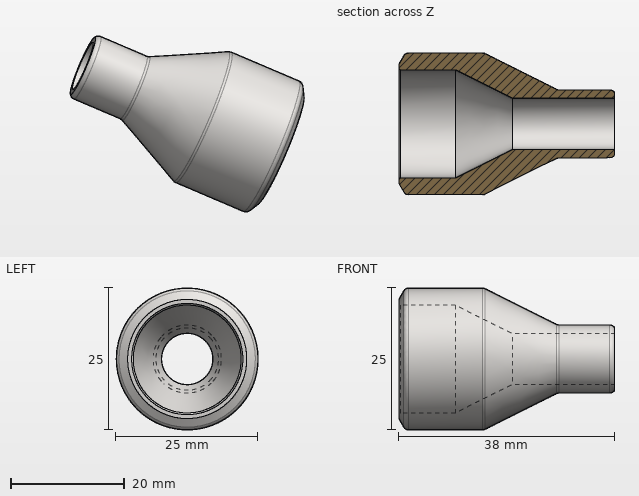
import cadquery as cq
import math

total_length = 38.0
body_end = 15.0
neck_start = 28.0

body_radius = 25.0 / 2
neck_radius = 12.0 / 2
rim_radius = 21.0 / 2
rim_slope = math.radians(60.0)
corner_radius = 1.0
neck_tip_sweep = math.radians(60.0)

socket_radius = 19.0 / 2
outlet_radius = 9.0 / 2
socket_depth = 10.0
mouth_chamfer = 0.3

rim_chamfer_end = (body_radius - rim_radius) / math.tan(rim_slope)

cone_slope = (body_radius - neck_radius) / (neck_start - body_end)
funnel_end = socket_depth + (socket_radius - outlet_radius) / cone_slope


def revolve_about_x(profile):
    """Turn a closed XY profile a full circle around the X axis."""
    return profile.revolve(360, (0, 0, 0), (1, 0, 0))


def neck_tip_point(angle):
    """Point on the neck's end arc, with the angle counted from the neck wall."""
    center_x = total_length - corner_radius * math.sin(neck_tip_sweep)
    center_y = neck_radius - corner_radius
    return (
        center_x + corner_radius * math.sin(angle),
        center_y + corner_radius * math.cos(angle),
    )


def round_edge(solid, x, radius):
    """Round the circular outer edge of the given radius that lies at x."""
    margin = 0.01
    edge = cq.selectors.BoxSelector(
        (x - margin, -radius - margin, -radius - margin),
        (x + margin, radius + margin, radius + margin),
        boundingbox=True,
    )
    return solid.edges(edge).fillet(corner_radius)


def make_outside():
    """Solid outer shape: chamfered body, cone and neck with rounded corners."""
    profile = (
        cq.Workplane("XY")
        .lineTo(0, rim_radius)
        .lineTo(rim_chamfer_end, body_radius)
        .lineTo(body_end, body_radius)
        .lineTo(neck_start, neck_radius)
        .lineTo(*neck_tip_point(0))
        .threePointArc(neck_tip_point(neck_tip_sweep / 2), neck_tip_point(neck_tip_sweep))
        .lineTo(total_length, 0)
        .close()
    )
    outside = revolve_about_x(profile)
    corners = [
        (rim_chamfer_end, body_radius),
        (body_end, body_radius),
        (neck_start, neck_radius),
    ]
    for x, radius in corners:
        outside = round_edge(outside, x, radius)
    return outside


def make_bore():
    """Through bore: chamfered socket, funnel and narrow outlet."""
    profile = (
        cq.Workplane("XY")
        .lineTo(0, socket_radius + mouth_chamfer)
        .lineTo(mouth_chamfer, socket_radius)
        .lineTo(socket_depth, socket_radius)
        .lineTo(funnel_end, outlet_radius)
        .lineTo(total_length, outlet_radius)
        .lineTo(total_length, 0)
        .close()
    )
    return revolve_about_x(profile)


result = make_outside().cut(make_bore())